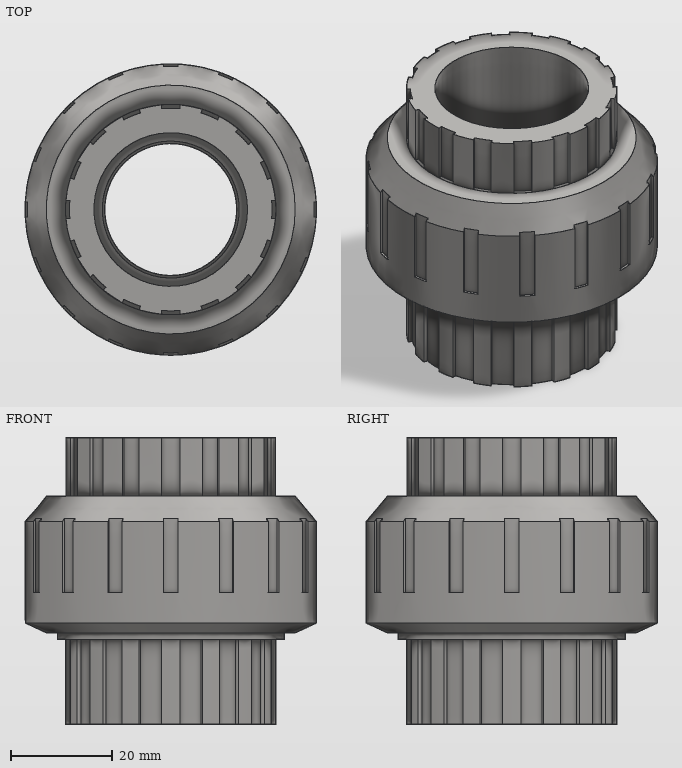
import cadquery as cq


TOTAL_HEIGHT = 56.6
SHOULDER_BOTTOM = 16.8
NUT_BOTTOM = 18.05
NUT_CHAMFER_LOW = 20.0
GRIP_BOTTOM = 26.05
NUT_CHAMFER_HIGH = 40.0
NUT_TOP = 45.0

NUT_DIAMETER = 57.5
NUT_FACE_DIAMETER = 49.1
NUT_LIP_HEIGHT = 4.6
NUT_LIP_BOTTOM = NUT_TOP - NUT_LIP_HEIGHT
GRIP_WIDTH = 2.95
GRIP_FLOOR_DIAMETER = 56.5

SHOULDER_DIAMETER = 44.85
JOINT_HEIGHT = 32.2

SOCKET_DEPTH = 21.85
SOCKET_BORE = 30.3
END_PASSAGE = 27.0
BODY_PASSAGE = 26.0
END_DIAMETER = 41.5
BODY_RIB_DIAMETER = 41.6
BODY_ROOT_DIAMETER = 39.95
RIB_WIDTH = 3.55
END_NOTCH_FLOOR_DIAMETER = BODY_ROOT_DIAMETER

AROUND = 16


def cylinder(diameter, bottom, top):
    return cq.Workplane("XY").workplane(offset=bottom).circle(diameter / 2).extrude(top - bottom)


def radial_blocks(inner, outer, width, bottom, top):
    """Straight-sided blocks spaced around the axis, with round faces of diameters `inner` and `outer`."""
    ring = cylinder(outer, bottom, top).cut(cylinder(inner, bottom, top))
    bars = (
        cq.Workplane("XY").workplane(offset=bottom)
        .polarArray(outer / 4, 0, 360, AROUND)
        .rect(outer / 2, width)
        .extrude(top - bottom)
    )
    return ring.intersect(bars)


def make_nut():
    outside = (
        cq.Workplane("XZ")
        .moveTo(0, NUT_BOTTOM)
        .lineTo(NUT_FACE_DIAMETER / 2, NUT_BOTTOM)
        .lineTo(NUT_DIAMETER / 2, NUT_CHAMFER_LOW)
        .lineTo(NUT_DIAMETER / 2, NUT_CHAMFER_HIGH)
        .lineTo(NUT_FACE_DIAMETER / 2, NUT_TOP)
        .lineTo(0, NUT_TOP)
        .close()
        .revolve(360, (0, 0, 0), (0, 1, 0))
    )
    bore = cylinder(SHOULDER_DIAMETER, NUT_BOTTOM, NUT_LIP_BOTTOM)
    lip_hole = cylinder(END_DIAMETER, NUT_LIP_BOTTOM, NUT_TOP)
    grip_slots = radial_blocks(GRIP_FLOOR_DIAMETER, NUT_DIAMETER, GRIP_WIDTH, GRIP_BOTTOM, NUT_TOP)
    return outside.cut(bore).cut(lip_hole).cut(grip_slots)


def make_end_socket():
    collar = cylinder(SHOULDER_DIAMETER, JOINT_HEIGHT, NUT_LIP_BOTTOM)
    neck = cylinder(END_DIAMETER, NUT_LIP_BOTTOM, TOTAL_HEIGHT)
    bore = cylinder(SOCKET_BORE, TOTAL_HEIGHT - SOCKET_DEPTH, TOTAL_HEIGHT)
    passage = cylinder(END_PASSAGE, JOINT_HEIGHT, TOTAL_HEIGHT)
    notches = radial_blocks(END_NOTCH_FLOOR_DIAMETER, END_DIAMETER, RIB_WIDTH, NUT_TOP, TOTAL_HEIGHT)
    return collar.union(neck).cut(bore).cut(passage).cut(notches)


def make_body():
    shoulder = cylinder(SHOULDER_DIAMETER, SHOULDER_BOTTOM, JOINT_HEIGHT)
    root = cylinder(BODY_ROOT_DIAMETER, 0, SHOULDER_BOTTOM)
    ribs = radial_blocks(SOCKET_BORE, BODY_RIB_DIAMETER, RIB_WIDTH, 0, SHOULDER_BOTTOM)
    bore = cylinder(SOCKET_BORE, 0, SOCKET_DEPTH)
    passage = cylinder(BODY_PASSAGE, 0, JOINT_HEIGHT)
    return shoulder.union(root).union(ribs).cut(bore).cut(passage)


nut = make_nut()
end_socket = make_end_socket()
body = make_body()

result = cq.Compound.makeCompound([nut.val(), end_socket.val(), body.val()])